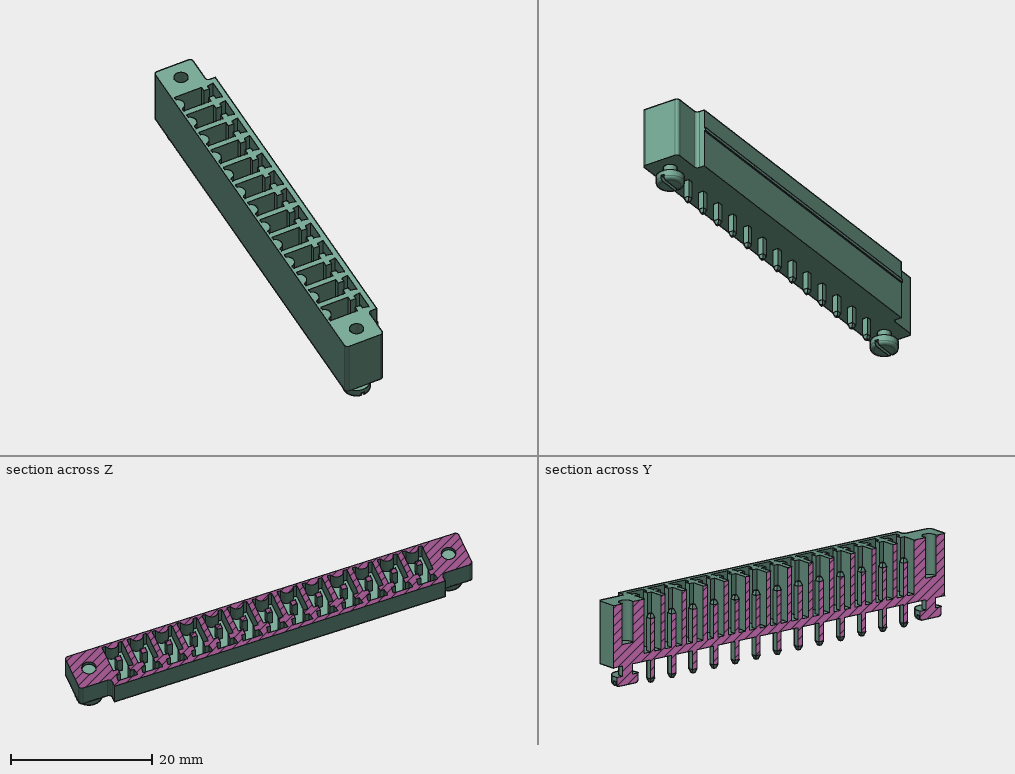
import cadquery as cq

PIN_COUNT = 13
PITCH = 3.81
PIN_Y = 3.0
ROW_LENGTH = (PIN_COUNT - 1) * PITCH
PIN_XS = [i * PITCH - ROW_LENGTH / 2 for i in range(PIN_COUNT)]

LENGTH = 59.92
HEIGHT = 9.25
TOTAL_DEPTH = 7.55
RIDGE_DEPTH = 0.2
RIDGE_HEIGHT = 0.5
RIDGE_BELOW_TOP = 3.2
DEPTH = TOTAL_DEPTH - RIDGE_DEPTH
EAR_LENGTH = 4.75
EAR_DEPTH = 6.0
CORNER_RADIUS = 0.5
MAIN_LENGTH = LENGTH - 2 * EAR_LENGTH

POCKET_WIDTH = 2.95
POCKET_FRONT_Y = 0.4
SHOULDER_Y = 4.7
NECK_WIDTH = 1.45
KEY_FRONT_Y = 5.6
KEY_FRONT_WIDTH = 2.6
KEY_BACK_Y = 6.55
RIB_RADIUS = 1.0
RIB_RISE = 0.75
FLOOR_THICKNESS = 1.25

PIN_SIZE = 0.85
PIN_TIP_SIZE = 0.4
PIN_TIP_LENGTH = 0.6
PIN_BOTTOM_Z = -3.35
PIN_TOP_Z = HEIGHT - 2.5

SCREW_TO_END_PIN = 4.53
SCREW_X = ROW_LENGTH / 2 + SCREW_TO_END_PIN
SCREW_Y = PIN_Y
SCREW_DIAMETER = 2.0
BORE_DEPTH = 6.0
HEAD_DIAMETER = 4.0
HEAD_TOP_Z = -1.45
HEAD_HEIGHT = 1.45
HEAD_FILLET = 0.5
SLOT_WIDTH = 0.5
SLOT_DEPTH = 0.75


def make_housing():
    """Long block with a shallower ear at each end and a ridge along the back."""
    main = cq.Workplane("XY").box(MAIN_LENGTH, DEPTH, HEIGHT, centered=(True, False, False))
    ears = cq.Workplane("XY").box(LENGTH, EAR_DEPTH, HEIGHT, centered=(True, False, False))
    ears = ears.edges("|Z").fillet(CORNER_RADIUS)
    body = main.union(ears)

    inner_corners = cq.selectors.BoxSelector(
        (-MAIN_LENGTH / 2 - CORNER_RADIUS, EAR_DEPTH - CORNER_RADIUS / 2, 0),
        (MAIN_LENGTH / 2 + CORNER_RADIUS, EAR_DEPTH + CORNER_RADIUS / 2, HEIGHT),
    )
    body = body.edges("|Z").edges(inner_corners).fillet(CORNER_RADIUS)

    ridge = (
        cq.Workplane("XY")
        .box(MAIN_LENGTH, RIDGE_DEPTH, RIDGE_HEIGHT, centered=(True, False, True))
        .translate((0, DEPTH, HEIGHT - RIDGE_BELOW_TOP))
    )
    return body.union(ridge)


def make_pocket(x):
    """Cavity with a flared keyway at the back and a rounded rib on its front wall."""
    half_width = POCKET_WIDTH / 2
    half_neck = NECK_WIDTH / 2
    half_key = KEY_FRONT_WIDTH / 2
    depth = HEIGHT - FLOOR_THICKNESS
    base = cq.Workplane("XY", origin=(x, 0, FLOOR_THICKNESS))
    cavity = (
        base.moveTo(-half_width, POCKET_FRONT_Y)
        .lineTo(half_width, POCKET_FRONT_Y)
        .lineTo(half_width, SHOULDER_Y)
        .lineTo(half_neck, SHOULDER_Y)
        .lineTo(half_neck, KEY_FRONT_Y)
        .lineTo(half_key, KEY_FRONT_Y)
        .lineTo(half_width, KEY_BACK_Y)
        .lineTo(-half_width, KEY_BACK_Y)
        .lineTo(-half_key, KEY_FRONT_Y)
        .lineTo(-half_neck, KEY_FRONT_Y)
        .lineTo(-half_neck, SHOULDER_Y)
        .lineTo(-half_width, SHOULDER_Y)
        .close()
        .extrude(depth)
    )
    rib_center_y = POCKET_FRONT_Y + RIB_RISE - RIB_RADIUS
    rib = base.center(0, rib_center_y).circle(RIB_RADIUS).extrude(depth)
    return cavity.cut(rib)


def make_tip(x, start_z, direction):
    """Tapered pin end; direction is +1 for the upper end and -1 for the lower."""
    return (
        cq.Workplane("XY", origin=(x, PIN_Y, start_z))
        .rect(PIN_SIZE, PIN_SIZE)
        .workplane(offset=direction * PIN_TIP_LENGTH)
        .rect(PIN_TIP_SIZE, PIN_TIP_SIZE)
        .loft(ruled=True)
    )


def make_pin(x):
    """Square pin through the housing floor, tapered at both ends."""
    shaft_bottom = PIN_BOTTOM_Z + PIN_TIP_LENGTH
    shaft_top = PIN_TOP_Z - PIN_TIP_LENGTH
    shaft = (
        cq.Workplane("XY", origin=(x, PIN_Y, shaft_bottom))
        .rect(PIN_SIZE, PIN_SIZE)
        .extrude(shaft_top - shaft_bottom)
    )
    return shaft.union(make_tip(x, shaft_bottom, -1)).union(make_tip(x, shaft_top, 1))


def make_screw(x):
    """Exposed shank and slotted round head of a screw entering from below."""
    head_bottom = HEAD_TOP_Z - HEAD_HEIGHT
    head = (
        cq.Workplane("XY", origin=(x, SCREW_Y, head_bottom))
        .circle(HEAD_DIAMETER / 2)
        .extrude(HEAD_HEIGHT)
        .faces("<Z")
        .edges()
        .fillet(HEAD_FILLET)
    )
    slot = (
        cq.Workplane("XY")
        .box(HEAD_DIAMETER, SLOT_WIDTH, SLOT_DEPTH, centered=(True, True, False))
        .translate((x, SCREW_Y, head_bottom))
    )
    shank = (
        cq.Workplane("XY", origin=(x, SCREW_Y, HEAD_TOP_Z))
        .circle(SCREW_DIAMETER / 2)
        .extrude(-HEAD_TOP_Z)
    )
    return head.cut(slot).union(shank)


def make_bore(x):
    """Blind hole in the top of an ear."""
    return (
        cq.Workplane("XY", origin=(x, SCREW_Y, HEIGHT - BORE_DEPTH))
        .circle(SCREW_DIAMETER / 2)
        .extrude(BORE_DEPTH)
    )


result = make_housing()
for pin_x in PIN_XS:
    result = result.cut(make_pocket(pin_x)).union(make_pin(pin_x))
for screw_x in (-SCREW_X, SCREW_X):
    result = result.cut(make_bore(screw_x)).union(make_screw(screw_x))